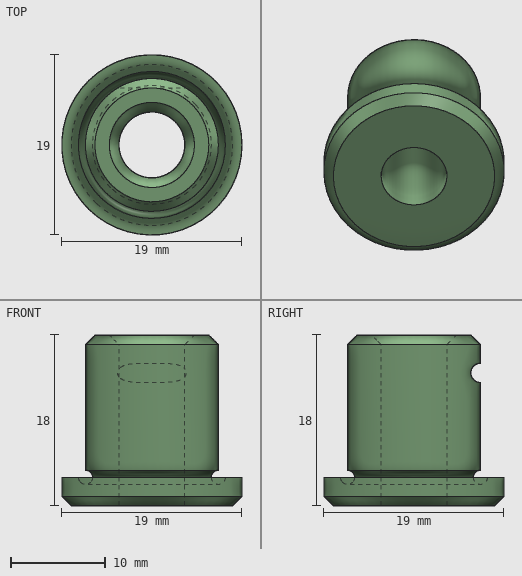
import cadquery as cq

flange_diameter = 19.0
flange_thickness = 3.0
total_height = 18.0
body_diameter = 14.0
edge_chamfer = 1.0
bore_diameter = 6.92
bore_mouth_diameter = 8.97
undercut_radius = 0.75
notch_radius = 1.0
notch_height = 14.0

body_radius = body_diameter / 2
body_height = total_height - flange_thickness
bore_mouth_depth = (bore_mouth_diameter - bore_diameter) / 2


def make_flange():
    """Round flange with a chamfered bottom rim."""
    flange = cq.Workplane("XY").circle(flange_diameter / 2).extrude(flange_thickness)
    return flange.faces("<Z").edges().chamfer(edge_chamfer)


def make_body():
    """Cylinder standing on the flange, chamfered at its top rim."""
    body = cq.Workplane("XY", origin=(0, 0, flange_thickness))
    body = body.circle(body_radius).extrude(body_height)
    return body.faces(">Z").edges().chamfer(edge_chamfer)


def make_bore():
    """Through bore with a conical mouth at the top."""
    bore = cq.Workplane("XY").circle(bore_diameter / 2).extrude(total_height)
    mouth = cq.Solid.makeCone(
        bore_diameter / 2,
        bore_mouth_diameter / 2,
        bore_mouth_depth,
        pnt=cq.Vector(0, 0, total_height - bore_mouth_depth),
    )
    return bore.union(mouth)


def make_undercut():
    """Ring of round section centred on the corner between body and flange."""
    section = cq.Workplane("XZ").center(body_radius, flange_thickness).circle(undercut_radius)
    axis_start = (-body_radius, 0)
    axis_end = (-body_radius, 1)
    return section.revolve(360, axis_start, axis_end)


def make_notch():
    """Round cross groove along X, centred on the +Y side of the body."""
    notch = cq.Workplane("YZ").center(body_radius, notch_height)
    return notch.circle(notch_radius).extrude(body_radius, both=True)


result = make_flange().union(make_body())
result = result.cut(make_bore())
result = result.cut(make_undercut())
result = result.cut(make_notch())